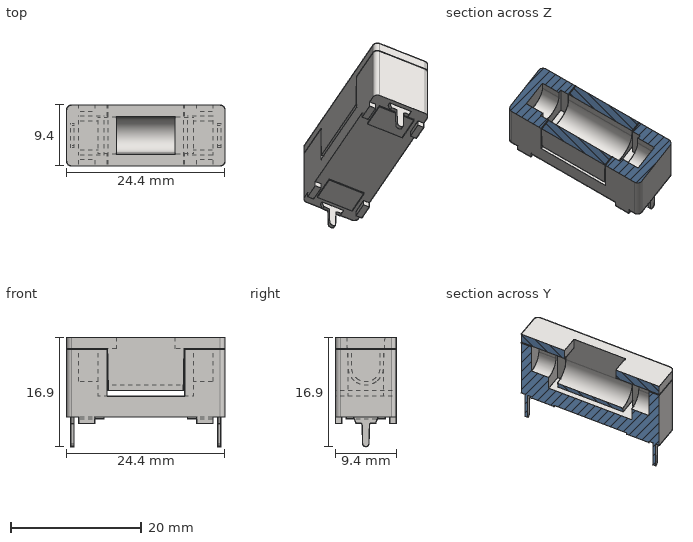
import cadquery as cq
import math


LENGTH = 24.4
WIDTH = 9.4
HEIGHT = 12.3
CORNER_RADIUS = 0.78

CAP_THICKNESS = 1.75
CAP_UNDERSIDE = HEIGHT - CAP_THICKNESS
CARRIER_TOP_HALF_LENGTH = 5.9
CARRIER_BOTTOM_HALF_LENGTH = 5.78
CARRIER_BOTTOM = 4.1
WINDOW_LENGTH = 9.05
WINDOW_HALF_WIDTH = 2.93
TROUGH_RADIUS = 2.7
FUSE_AXIS_Z = 7.65

LID_GAP = 0.1
BASE_TOP = CAP_UNDERSIDE - LID_GAP
NOTCH_HALF_LENGTH = 5.95
NOTCH_FLOOR = 3.25

MOUTH_WIDTH = 5.47
MOUTH_END_X = 7.32
CHANNEL_RADIUS = 2.2
CHANNEL_END_X = 10.35

FOOT_LENGTH = 2.51
FOOT_WIDTH = 1.02
FOOT_HEIGHT = 1.0
FOOT_OUTER_X = 10.35
FOOT_OUTER_Y = WIDTH / 2
PAD_INNER_X = 6.4
PAD_WIDTH = 6.05
PAD_HEIGHT = 0.25

PIN_CENTRE_X = 11.3
PIN_THICKNESS = 0.54
PIN_LENGTH = 4.55
SHOULDER_TOP_HALF_WIDTH = 1.88
SHOULDER_BOTTOM_HALF_WIDTH = 1.54
SHOULDER_HEIGHT = 0.93
NECK_FILLET = 0.22
NECK_HALF_WIDTH = 0.59
TIP_RADIUS = 0.51

SIDES = (-1, 1)
ARC_MIDDLE = math.sqrt(0.5)


def box(x_min, x_max, y_size, z_min, z_max):
    """A box centred on y = 0."""
    return (
        cq.Workplane("XY", origin=((x_min + x_max) / 2, 0, z_min))
        .box(x_max - x_min, y_size, z_max - z_min, centered=(True, True, False))
    )


def rounded_block(z_min, z_max):
    """The full outline of the holder with rounded upright corners."""
    return box(-LENGTH / 2, LENGTH / 2, WIDTH, z_min, z_max).edges("|Z").fillet(CORNER_RADIUS)


def mirrored_in_x(solid):
    """A feature of the +X end together with its mirror image at the -X end."""
    return solid.union(solid.mirror("YZ"))


def fuse_carrier():
    """The middle of the cover, slightly narrower in X towards its bottom."""
    outline = [
        (-CARRIER_TOP_HALF_LENGTH, CAP_UNDERSIDE),
        (-CARRIER_BOTTOM_HALF_LENGTH, CARRIER_BOTTOM),
        (CARRIER_BOTTOM_HALF_LENGTH, CARRIER_BOTTOM),
        (CARRIER_TOP_HALF_LENGTH, CAP_UNDERSIDE),
    ]
    return cq.Workplane("XZ").polyline(outline).close().extrude(WIDTH / 2, both=True)


def fuse_trough():
    """Space for the fuse: sloping side walls that run into a half-round bottom."""
    return (
        cq.Workplane("YZ")
        .moveTo(-WINDOW_HALF_WIDTH, HEIGHT)
        .lineTo(-TROUGH_RADIUS, FUSE_AXIS_Z)
        .threePointArc((0, FUSE_AXIS_Z - TROUGH_RADIUS), (TROUGH_RADIUS, FUSE_AXIS_Z))
        .lineTo(WINDOW_HALF_WIDTH, HEIGHT)
        .close()
        .extrude(LENGTH / 2, both=True)
    )


def make_cover():
    cap = rounded_block(CAP_UNDERSIDE, HEIGHT)
    window_limits = box(-WINDOW_LENGTH / 2, WINDOW_LENGTH / 2, WIDTH, CAP_UNDERSIDE, HEIGHT)
    window = fuse_trough().intersect(window_limits)
    carrier = fuse_carrier().cut(fuse_trough())
    return cap.cut(window).union(carrier)


def clip_pocket():
    """Pocket of the +X end, open to the top and to the notch."""
    mouth = box(NOTCH_HALF_LENGTH, MOUTH_END_X, MOUTH_WIDTH, NOTCH_FLOOR, BASE_TOP)
    channel = (
        cq.Workplane("YZ", origin=(MOUTH_END_X, 0, 0))
        .moveTo(-CHANNEL_RADIUS, BASE_TOP)
        .lineTo(-CHANNEL_RADIUS, FUSE_AXIS_Z)
        .threePointArc((0, FUSE_AXIS_Z - CHANNEL_RADIUS), (CHANNEL_RADIUS, FUSE_AXIS_Z))
        .lineTo(CHANNEL_RADIUS, BASE_TOP)
        .close()
        .extrude(CHANNEL_END_X - MOUTH_END_X)
    )
    return mouth.union(channel)


def foot(side_y):
    """Foot of the +X end, flush with the long side chosen by side_y."""
    return box(FOOT_OUTER_X - FOOT_LENGTH, FOOT_OUTER_X, FOOT_WIDTH, -FOOT_HEIGHT, 0).translate(
        (0, side_y * (FOOT_OUTER_Y - FOOT_WIDTH / 2), 0)
    )


def pad():
    """Shallow pad under the +X end."""
    return box(PAD_INNER_X, FOOT_OUTER_X, PAD_WIDTH, -PAD_HEIGHT, 0)


def pin():
    """Flat solder pin of the +X end: sloping shoulder, tapered blade and round tip."""
    fillet_centre_y = NECK_HALF_WIDTH + NECK_FILLET
    fillet_centre_z = -SHOULDER_HEIGHT - NECK_FILLET
    fillet_middle_y = fillet_centre_y - NECK_FILLET * ARC_MIDDLE
    fillet_middle_z = fillet_centre_z + NECK_FILLET * ARC_MIDDLE
    tip_start_z = -PIN_LENGTH + TIP_RADIUS
    return (
        cq.Workplane("YZ", origin=(PIN_CENTRE_X - PIN_THICKNESS / 2, 0, 0))
        .moveTo(-SHOULDER_TOP_HALF_WIDTH, 0)
        .lineTo(-SHOULDER_BOTTOM_HALF_WIDTH, -SHOULDER_HEIGHT)
        .lineTo(-fillet_centre_y, -SHOULDER_HEIGHT)
        .threePointArc((-fillet_middle_y, fillet_middle_z), (-NECK_HALF_WIDTH, fillet_centre_z))
        .lineTo(-TIP_RADIUS, tip_start_z)
        .threePointArc((0, -PIN_LENGTH), (TIP_RADIUS, tip_start_z))
        .lineTo(NECK_HALF_WIDTH, fillet_centre_z)
        .threePointArc((fillet_middle_y, fillet_middle_z), (fillet_centre_y, -SHOULDER_HEIGHT))
        .lineTo(SHOULDER_BOTTOM_HALF_WIDTH, -SHOULDER_HEIGHT)
        .lineTo(SHOULDER_TOP_HALF_WIDTH, 0)
        .close()
        .extrude(PIN_THICKNESS)
    )


def make_base():
    block = rounded_block(0, BASE_TOP)
    notch = box(-NOTCH_HALF_LENGTH, NOTCH_HALF_LENGTH, WIDTH, NOTCH_FLOOR, BASE_TOP)
    base = block.cut(notch).cut(mirrored_in_x(clip_pocket()))
    for side_y in SIDES:
        base = base.union(mirrored_in_x(foot(side_y)))
    return base.union(mirrored_in_x(pad())).union(mirrored_in_x(pin()))


cover = make_cover()
base = make_base()

result = cq.Compound.makeCompound([base.solids().val(), cover.solids().val()])